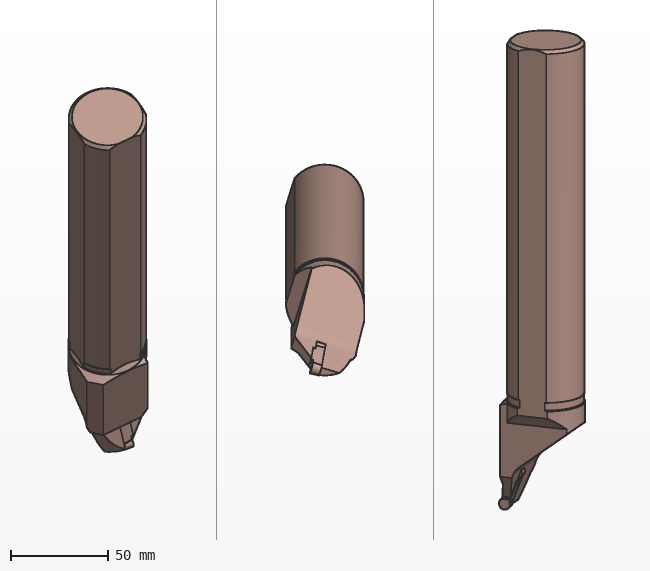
import cadquery as cq
import math

TOTAL_LENGTH = 254.0

SHANK_RADIUS = 20.0
SIDE_FLAT = 18.5
FRONT_FLAT = 17.8
SHANK_CHAMFER = 1.8
NECK_RADIUS = 19.8
NECK_TOP = 65.3

HEAD_TOP = 60.7
HEAD_RADIUS = 20.3
HEAD_RIGHT = 20.5
HEAD_FRONT = -21.0
FRONT_EDGE_X = -0.8
HEAD_BACK = 12.0
CORNER_CUT = 6.0
FLARE_HEIGHT = 3.3
SHOULDER_RADIUS = 26.5
SHOULDER_DROP = 2.3
RAMP_START = 50.3

SLANT_HIGH = 50.5
SLANT_END = (12.5, 25.1)
SLANT_FILLET = 11.2
BLADE_OUTER_TOP = 16.0
BLADE_BOTTOM = 1.8
BLADE_BEVEL_TOP = 21.0
BLADE_BEVEL_END = (0.3, 5.5)
SWEEP_CENTER = (4.0, -1.3)
SWEEP_RADIUS = 21.3

INSERT_BACK = 0.3
INSERT_WIDTH = 4.8
TIP_RADIUS = 3.0
TIP_CENTER = (22.9, TIP_RADIUS)
END_SPACING = 18.8
LEAN = math.radians(21.4)
INNER_OFFSET = 2.3
OUTER_OFFSET = 2.0
RELIEF_ANGLE = 4.0
LAND_LENGTH = 10.5
LAND_HEIGHT = 1.3


def make_shank():
    """Round bar and neck with three flats, chamfered at the free end."""
    length = TOTAL_LENGTH - HEAD_TOP
    neck = cq.Workplane("XY", origin=(0, 0, HEAD_TOP)).circle(NECK_RADIUS).extrude(NECK_TOP - HEAD_TOP)
    shank = (
        cq.Workplane("XY", origin=(0, 0, NECK_TOP))
        .circle(SHANK_RADIUS)
        .extrude(TOTAL_LENGTH - NECK_TOP)
        .faces(">Z")
        .chamfer(SHANK_CHAMFER)
    )
    flat_envelope = cq.Workplane("XY", origin=(0, 0, HEAD_TOP)).box(
        SHANK_RADIUS + FRONT_FLAT, 2 * SIDE_FLAT, length, centered=(False, True, False)
    ).translate((-SHANK_RADIUS, 0, 0))
    return shank.union(neck, clean=False).intersect(flat_envelope)


def make_flare():
    """Cone that widens from the flats to the head, trimmed level with the +Y flat."""
    flare = (
        cq.Workplane("XZ")
        .moveTo(0, HEAD_TOP)
        .lineTo(HEAD_RADIUS, HEAD_TOP)
        .lineTo(HEAD_RADIUS - FLARE_HEIGHT, HEAD_TOP + FLARE_HEIGHT)
        .lineTo(0, HEAD_TOP + FLARE_HEIGHT)
        .close()
        .revolve(360, (0, 0, 0), (0, 1, 0))
    )
    flat_trim = cq.Workplane("XY", origin=(0, SIDE_FLAT, HEAD_TOP)).box(
        2 * HEAD_RADIUS, HEAD_RADIUS, FLARE_HEIGHT, centered=(True, False, False)
    )
    return flare.cut(flat_trim)


def make_head_blank():
    """Round head squared off toward +X -Y, under a sloping shoulder."""
    edge_distance = math.hypot(FRONT_EDGE_X, HEAD_FRONT)
    tangent_angle = math.atan2(HEAD_FRONT, FRONT_EDGE_X) - math.acos(HEAD_RADIUS / edge_distance)
    tangent_point = (HEAD_RADIUS * math.cos(tangent_angle), HEAD_RADIUS * math.sin(tangent_angle))
    round_part = cq.Workplane("XY").circle(HEAD_RADIUS).extrude(HEAD_TOP)
    corner = (
        cq.Workplane("XY")
        .polyline([
            (0, 0),
            tangent_point,
            (FRONT_EDGE_X, HEAD_FRONT),
            (HEAD_RIGHT - CORNER_CUT, HEAD_FRONT),
            (HEAD_RIGHT, HEAD_FRONT + CORNER_CUT),
            (HEAD_RIGHT, HEAD_BACK),
            (0, HEAD_BACK),
        ])
        .close()
        .extrude(HEAD_TOP)
    )
    shoulder = (
        cq.Workplane("XZ")
        .moveTo(0, BLADE_OUTER_TOP)
        .lineTo(SHOULDER_RADIUS, BLADE_OUTER_TOP)
        .lineTo(SHOULDER_RADIUS, HEAD_TOP - SHOULDER_DROP)
        .lineTo(HEAD_RADIUS, HEAD_TOP)
        .lineTo(0, HEAD_TOP)
        .close()
        .revolve(360, (0, 0, 0), (0, 1, 0))
    )
    behind_flat = cq.Workplane("XY").box(
        2 * SHOULDER_RADIUS, SIDE_FLAT - HEAD_FRONT, HEAD_TOP, centered=(True, False, False)
    ).translate((0, HEAD_FRONT, 0))
    return round_part.union(corner).intersect(shoulder).intersect(behind_flat)


def blade_x(offset, z):
    """X of a blade face at height z, offset square to the insert axis."""
    return TIP_CENTER[0] - (z - TIP_CENTER[1]) * math.tan(LEAN) + offset / math.cos(LEAN)


def make_blade():
    """Leaning blade under the head, bounded by the vertical sweep cylinder."""
    blade = (
        cq.Workplane("XZ", origin=(0, HEAD_BACK, 0))
        .polyline([
            (blade_x(-INNER_OFFSET, BLADE_OUTER_TOP), BLADE_OUTER_TOP),
            (HEAD_RIGHT, BLADE_OUTER_TOP),
            (blade_x(OUTER_OFFSET, BLADE_BOTTOM), BLADE_BOTTOM),
            (blade_x(-INNER_OFFSET, BLADE_BOTTOM), BLADE_BOTTOM),
        ])
        .close()
        .extrude(HEAD_BACK - HEAD_FRONT)
    )
    sweep = cq.Workplane("XY").center(*SWEEP_CENTER).circle(SWEEP_RADIUS).extrude(BLADE_OUTER_TOP)
    return blade.intersect(sweep)


def make_underside_cut():
    """Space below the slanted underside and inside the blade."""
    clear = 2 * SHOULDER_RADIUS
    outer_x = -HEAD_RADIUS
    slope = (SLANT_HIGH - SLANT_END[1]) / (SLANT_END[0] - outer_x)
    cut = (
        cq.Workplane("XZ", origin=(0, clear / 2, 0))
        .polyline([
            (-clear, 0),
            (-clear, SLANT_HIGH + slope * (clear + outer_x)),
            SLANT_END,
            (blade_x(-INNER_OFFSET, 0), 0),
        ])
        .close()
        .extrude(clear)
    )
    inner_corner = cq.selectors.NearestToPointSelector((SLANT_END[0], 0, SLANT_END[1]))
    return cut.edges("|Y").edges(inner_corner).fillet(SLANT_FILLET)


def make_back_cut():
    """Space behind the +Y face, its 45 degree ramp and the blade bevel."""
    clear = 2 * SHOULDER_RADIUS
    run = SHOULDER_RADIUS - HEAD_BACK
    return (
        cq.Workplane("YZ", origin=(-clear / 2, 0, 0))
        .polyline([
            (SHOULDER_RADIUS, 0),
            (SHOULDER_RADIUS, RAMP_START + run),
            (HEAD_BACK, RAMP_START),
            (HEAD_BACK, BLADE_BEVEL_TOP),
            BLADE_BEVEL_END,
            (BLADE_BEVEL_END[0], 0),
        ])
        .close()
        .extrude(clear)
    )


def make_insert():
    """Dog-bone insert: two rounded ends that narrow toward -Y, on a slimmer stem with a raised land."""
    upper_center = (
        TIP_CENTER[0] - END_SPACING * math.sin(LEAN),
        TIP_CENTER[1] + END_SPACING * math.cos(LEAN),
    )
    stem_width = INNER_OFFSET + OUTER_OFFSET
    land = (
        cq.Workplane("XZ", origin=(0, INSERT_BACK, 0))
        .rect(stem_width, LAND_LENGTH)
        .extrude(-LAND_HEIGHT)
    )
    stem = (
        cq.Workplane("XZ", origin=(0, INSERT_BACK, 0))
        .rect(stem_width, END_SPACING)
        .extrude(INSERT_WIDTH)
        .union(land)
        .translate(((OUTER_OFFSET - INNER_OFFSET) / 2, 0, 0))
        .rotate((0, 0, 0), (0, 1, 0), -math.degrees(LEAN))
        .translate(((TIP_CENTER[0] + upper_center[0]) / 2, 0, (TIP_CENTER[1] + upper_center[1]) / 2))
    )
    insert = stem
    for x, z in (TIP_CENTER, upper_center):
        rounded_end = (
            cq.Workplane("XZ", origin=(x, INSERT_BACK, z))
            .circle(TIP_RADIUS)
            .extrude(INSERT_WIDTH, taper=RELIEF_ANGLE)
        )
        insert = insert.union(rounded_end)
    return insert


insert = make_insert()
holder = (
    make_head_blank()
    .union(make_blade())
    .cut(make_underside_cut())
    .cut(make_back_cut())
    .union(make_flare())
    .union(make_shank())
    .cut(insert)
)

result = cq.Compound.makeCompound([holder.solids().val(), insert.solids().val()])